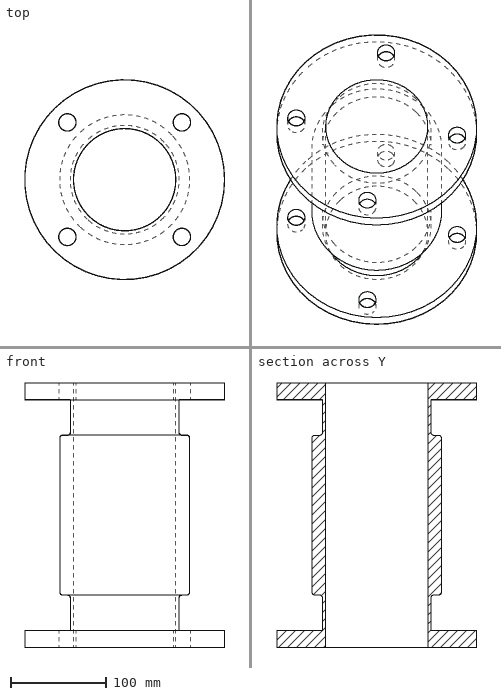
import cadquery as cq

length = 278.0
bore_radius = 107.1 / 2
neck_radius = 114.3 / 2

flange_radius = 210.0 / 2
flange_thickness = 18.0
bolt_circle_radius = 170.0 / 2
bolt_hole_radius = 18.0 / 2
bolt_count = 4
first_bolt_angle = 45.0

sleeve_radius = 136.5 / 2
sleeve_length = 168.0
shoulder_edge_radius = 3.0
shoulder_root_radius = 3.0


def spool_body():
    """Pipe, sleeve and flanges as one revolved profile, symmetric about mid-length."""
    end_z = length / 2
    flange_back_z = end_z - flange_thickness
    shoulder_z = sleeve_length / 2
    root_top_z = shoulder_z + shoulder_root_radius
    root_outer_radius = neck_radius + shoulder_root_radius
    edge_bottom_z = shoulder_z - shoulder_edge_radius
    edge_inner_radius = sleeve_radius - shoulder_edge_radius
    return (
        cq.Workplane("XZ")
        .moveTo(bore_radius, -end_z)
        .lineTo(flange_radius, -end_z)
        .lineTo(flange_radius, -flange_back_z)
        .lineTo(neck_radius, -flange_back_z)
        .lineTo(neck_radius, -root_top_z)
        .radiusArc((root_outer_radius, -shoulder_z), shoulder_root_radius)
        .lineTo(edge_inner_radius, -shoulder_z)
        .radiusArc((sleeve_radius, -edge_bottom_z), -shoulder_edge_radius)
        .lineTo(sleeve_radius, edge_bottom_z)
        .radiusArc((edge_inner_radius, shoulder_z), -shoulder_edge_radius)
        .lineTo(root_outer_radius, shoulder_z)
        .radiusArc((neck_radius, root_top_z), shoulder_root_radius)
        .lineTo(neck_radius, flange_back_z)
        .lineTo(flange_radius, flange_back_z)
        .lineTo(flange_radius, end_z)
        .lineTo(bore_radius, end_z)
        .close()
        .revolve(360, (0, 0, 0), (0, 1, 0))
    )


def bolt_holes():
    """Cutters for the bolt holes, running through both flanges outside the sleeve."""
    return (
        cq.Workplane("XY")
        .workplane(offset=-length / 2)
        .polarArray(bolt_circle_radius, first_bolt_angle, 360, bolt_count)
        .circle(bolt_hole_radius)
        .extrude(length)
    )


result = spool_body().cut(bolt_holes())